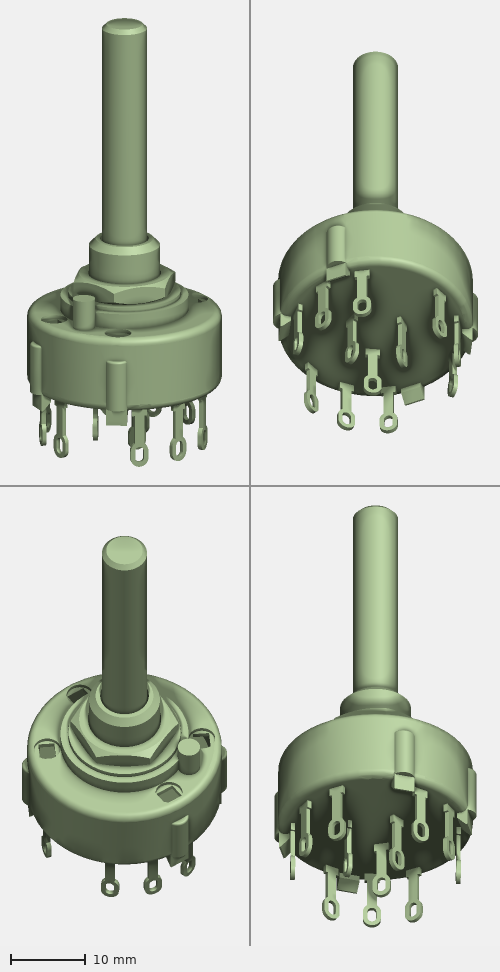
import cadquery as cq
import math


DRUM_DIAMETER = 26.0
DRUM_BOTTOM = 8.25
DRUM_TOP = 18.5
DRUM_FILLET = 1.0

CAVITY_DIAMETER = 23.4
CAVITY_DEPTH = 3.5

FLANGE_DIAMETER = 17.1
FLANGE_TOP = 20.55
RECESS_DIAMETER = 15.15
RECESS_DEPTH = 0.45

BUSHING_DIAMETER = 9.5
BUSHING_TOP = 28.45
BUSHING_CHAMFER = 0.9
BORE_DIAMETER = 6.5
BORE_FLOOR = DRUM_TOP

PIN_DIAMETER = 3.0
PIN_DISTANCE = 9.5
PIN_TOP = 22.5

LEG_ANGLES = (60, 120, 240, 300)
RIB_DIAMETER = 3.15
RIB_DISTANCE = 12.15
RIB_BOTTOM = 8.6
RIB_TOP = 15.45
RIB_FILLET = 0.3
HOOK_WIDTH = 2.8
HOOK_OUTER_RADIUS = 12.85
HOOK_TOP_DEPTH = 1.4
HOOK_TIP_DEPTH = 0.25
HOOK_BOTTOM = 6.3

LEG_HOLE_DIAMETER = 3.55
LEG_HOLE_DISTANCE = 10.35
LEG_HOLE_DEPTH = 0.5
LEG_SLOT_WIDTH = 2.6
LEG_SLOT_LENGTH = 2.15
LEG_SLOT_DEPTH = 0.65

CONTACT_DISTANCE = 11.05
COMMON_DISTANCE = 3.85
POLE_COUNT = 3
COMMON_START_ANGLE = 90
CONTACT_OFFSETS = (-15, 15, 45)
TERMINAL_THICKNESS = 0.6
SHOULDER_WIDTH = 2.0
SHOULDER_BOTTOM = 7.15
STEM_WIDTH = 1.3
EYE_WIDTH = 2.4
EYE_HEIGHT = 3.4
EYE_HOLE_WIDTH = 1.15
EYE_HOLE_HEIGHT = 2.15
TERMINAL_EMBEDDING = 0.6

SHAFT_DIAMETER = 6.0
SHAFT_TOP = 58.5
SHAFT_CHAMFER = 0.6

WASHER_DIAMETER = 15.0
WASHER_BORE = 10.3
WASHER_BOTTOM = FLANGE_TOP - RECESS_DEPTH
WASHER_TOP = 21.05

NUT_ACROSS_FLATS = 12.45
NUT_THICKNESS = 2.5
NUT_BORE = 9.75
NUT_TURN = -6.5
NUT_FACE_DIAMETER = 12.1
NUT_CHAMFER_ANGLE = 30


def cylinder(diameter, bottom, top):
    return cq.Workplane("XY").workplane(offset=bottom).circle(diameter / 2).extrude(top - bottom)


def turned(body, angle):
    return body.rotate((0, 0, 0), (0, 0, 1), angle)


def make_terminal(distance):
    """Flat solder terminal facing along X, placed on the +X axis."""
    eye_center = EYE_HEIGHT / 2
    terminal_top = DRUM_BOTTOM + TERMINAL_EMBEDDING
    plane = cq.Workplane("YZ").workplane(offset=distance - TERMINAL_THICKNESS / 2)

    eye = plane.center(0, eye_center).slot2D(EYE_HEIGHT, EYE_WIDTH, 90).extrude(TERMINAL_THICKNESS)
    stem = (
        plane.center(0, (eye_center + terminal_top) / 2)
        .rect(STEM_WIDTH, terminal_top - eye_center)
        .extrude(TERMINAL_THICKNESS)
    )
    shoulder = (
        plane.center(0, (SHOULDER_BOTTOM + terminal_top) / 2)
        .rect(SHOULDER_WIDTH, terminal_top - SHOULDER_BOTTOM)
        .extrude(TERMINAL_THICKNESS)
    )
    eye_hole = (
        plane.center(0, eye_center)
        .slot2D(EYE_HOLE_HEIGHT, EYE_HOLE_WIDTH, 90)
        .extrude(TERMINAL_THICKNESS)
    )
    return eye.union(stem).union(shoulder).cut(eye_hole)


def make_snap_leg():
    """Rib and hook on the +X side of the drum."""
    rib = cylinder(RIB_DIAMETER, RIB_BOTTOM, RIB_TOP).faces(">Z").edges().fillet(RIB_FILLET)
    rib = rib.translate((RIB_DISTANCE, 0, 0))
    slope = HOOK_TOP_DEPTH - HOOK_TIP_DEPTH
    hook = (
        cq.Workplane("XZ")
        .moveTo(HOOK_OUTER_RADIUS, RIB_BOTTOM)
        .lineTo(HOOK_OUTER_RADIUS, HOOK_BOTTOM)
        .lineTo(HOOK_OUTER_RADIUS - HOOK_TIP_DEPTH, HOOK_BOTTOM)
        .lineTo(HOOK_OUTER_RADIUS - HOOK_TOP_DEPTH, HOOK_BOTTOM + slope)
        .lineTo(HOOK_OUTER_RADIUS - HOOK_TOP_DEPTH, RIB_BOTTOM)
        .close()
        .extrude(HOOK_WIDTH / 2, both=True)
    )
    return rib.union(hook)


def make_leg_opening():
    """Round hole in the drum top on the +X side, with a rectangular slot from its floor to the cavity."""
    hole_floor = DRUM_TOP - LEG_HOLE_DEPTH
    hole = cylinder(LEG_HOLE_DIAMETER, hole_floor, DRUM_TOP)
    slot = (
        cq.Workplane("XY")
        .workplane(offset=hole_floor - LEG_SLOT_DEPTH)
        .rect(LEG_SLOT_LENGTH, LEG_SLOT_WIDTH)
        .extrude(LEG_SLOT_DEPTH)
    )
    return hole.union(slot).translate((LEG_HOLE_DISTANCE, 0, 0))


def make_cavity():
    ceiling = DRUM_TOP - LEG_HOLE_DEPTH - LEG_SLOT_DEPTH
    floor = ceiling - CAVITY_DEPTH
    core = cylinder(BUSHING_DIAMETER, floor, ceiling)
    return cylinder(CAVITY_DIAMETER, floor, ceiling).cut(core)


def make_housing():
    drum = cylinder(DRUM_DIAMETER, DRUM_BOTTOM, DRUM_TOP).edges().fillet(DRUM_FILLET)
    flange = cylinder(FLANGE_DIAMETER, DRUM_TOP, FLANGE_TOP)
    recess = cylinder(RECESS_DIAMETER, WASHER_BOTTOM, FLANGE_TOP)
    bushing = cylinder(BUSHING_DIAMETER, DRUM_TOP, BUSHING_TOP).faces(">Z").chamfer(BUSHING_CHAMFER)
    pin = cylinder(PIN_DIAMETER, DRUM_TOP, PIN_TOP).translate((0, -PIN_DISTANCE, 0))
    housing = drum.union(flange).cut(recess).union(bushing).union(pin)
    housing = housing.cut(cylinder(BORE_DIAMETER, BORE_FLOOR, BUSHING_TOP))

    for angle in LEG_ANGLES:
        housing = housing.union(turned(make_snap_leg(), angle))
        housing = housing.cut(turned(make_leg_opening(), angle))
    housing = housing.cut(make_cavity())

    for pole in range(POLE_COUNT):
        common_angle = COMMON_START_ANGLE + pole * 360 / POLE_COUNT
        housing = housing.union(turned(make_terminal(COMMON_DISTANCE), common_angle))
        for offset in CONTACT_OFFSETS:
            housing = housing.union(turned(make_terminal(CONTACT_DISTANCE), common_angle + offset))
    return housing


def make_shaft():
    return cylinder(SHAFT_DIAMETER, BORE_FLOOR, SHAFT_TOP).faces(">Z").chamfer(SHAFT_CHAMFER)


def make_washer():
    return cylinder(WASHER_DIAMETER, WASHER_BOTTOM, WASHER_TOP).cut(
        cylinder(WASHER_BORE, WASHER_BOTTOM, WASHER_TOP)
    )


def make_nut():
    """Hexagon nut whose corners are bevelled by a cone at both ends."""
    across_corners = NUT_ACROSS_FLATS / math.cos(math.radians(30))
    nut_top = WASHER_TOP + NUT_THICKNESS
    corner_radius = across_corners / 2
    face_radius = NUT_FACE_DIAMETER / 2
    bevel_height = (corner_radius - face_radius) * math.tan(math.radians(NUT_CHAMFER_ANGLE))

    hexagon = (
        cq.Workplane("XY")
        .workplane(offset=WASHER_TOP)
        .polygon(6, across_corners)
        .extrude(NUT_THICKNESS)
    )
    bevelled_blank = (
        cq.Workplane("XZ")
        .moveTo(0, WASHER_TOP)
        .lineTo(face_radius, WASHER_TOP)
        .lineTo(corner_radius, WASHER_TOP + bevel_height)
        .lineTo(corner_radius, nut_top - bevel_height)
        .lineTo(face_radius, nut_top)
        .lineTo(0, nut_top)
        .close()
        .revolve(360, (0, 0, 0), (0, 1, 0))
    )
    nut = hexagon.intersect(bevelled_blank).cut(cylinder(NUT_BORE, WASHER_TOP, nut_top))
    return turned(nut, NUT_TURN)


housing = make_housing()
shaft = make_shaft()
washer = make_washer()
nut = make_nut()

result = cq.Compound.makeCompound([housing.val(), shaft.val(), washer.val(), nut.val()])